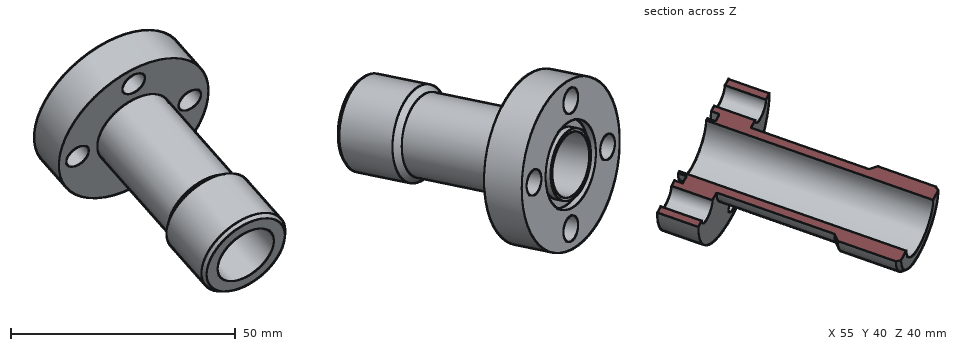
import cadquery as cq

total_length = 55.0
flange_diameter = 40.0
flange_thickness = 10.0

tube_diameter = 19.45
head_diameter = 22.45
head_start = 38.5
head_taper_length = (head_diameter - tube_diameter) / 2
end_chamfer_length = 0.95
end_chamfer_height = 0.75
bore_diameter = 15.0

groove_inner_diameter = 16.5
groove_outer_diameter = 20.5
groove_depth = 2.0

bolt_hole_count = 4
bolt_hole_diameter = 6.0
bolt_circle_diameter = 30.0


def make_body():
    """Revolve the outer half profile about the X axis."""
    flange_radius = flange_diameter / 2
    tube_radius = tube_diameter / 2
    head_radius = head_diameter / 2
    profile = [
        (0, 0),
        (0, flange_radius),
        (flange_thickness, flange_radius),
        (flange_thickness, tube_radius),
        (head_start, tube_radius),
        (head_start + head_taper_length, head_radius),
        (total_length - end_chamfer_length, head_radius),
        (total_length, head_radius - end_chamfer_height),
        (total_length, 0),
    ]
    return cq.Workplane("XY").polyline(profile).close().revolve(360, (0, 0, 0), (1, 0, 0))


def make_bore():
    return cq.Workplane("YZ").circle(bore_diameter / 2).extrude(total_length)


def make_groove():
    """Ring groove that leaves a thin lip around the bore."""
    outline = cq.Workplane("YZ").circle(groove_outer_diameter / 2).circle(groove_inner_diameter / 2)
    return outline.extrude(groove_depth)


def make_bolt_holes():
    """Equally spaced through holes, the first on the Y axis."""
    centers = cq.Workplane("YZ").polarArray(bolt_circle_diameter / 2, 0, 360, bolt_hole_count)
    return centers.circle(bolt_hole_diameter / 2).extrude(flange_thickness)


result = make_body().cut(make_bore()).cut(make_groove()).cut(make_bolt_holes())